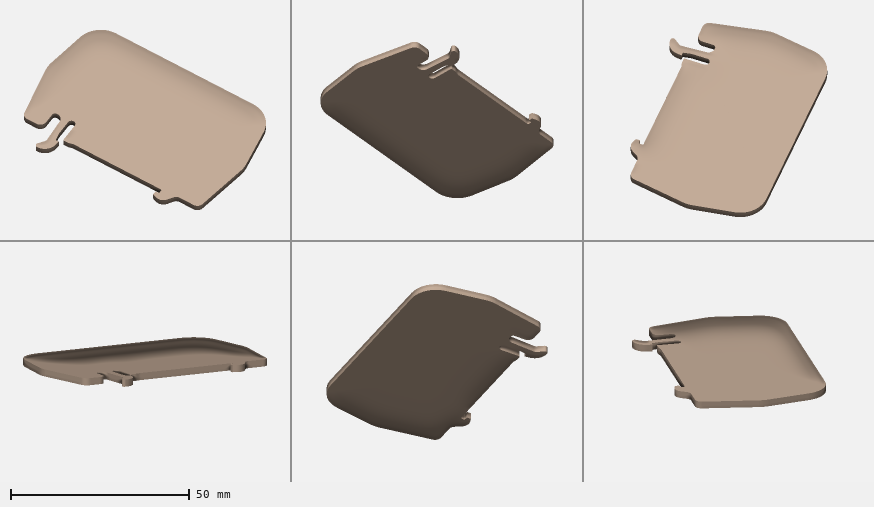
import cadquery as cq
import math

THICKNESS = 2.0

HALF_WIDTH = 32.7
TOP_Y = 38.75
TOP_HALF_WIDTH = 29.6
TOP_RADIUS = 7.85
WAIST_Y = 18.7
WAIST_RADIUS = 8.5
WAIST_OVERSHOOT = 0.1
WAIST_X = HALF_WIDTH + WAIST_OVERSHOOT
LEFT_FOOT_X = -29.2
RIGHT_FOOT_X = 29.65
FOOT_RADIUS = 1.95
RECESS_Y = -0.4

OUTER_SLOT_LEFT = -22.5
OUTER_SLOT_RIGHT = -19.6
OUTER_SLOT_TOP = 6.0
OUTER_SLOT_LEFT_RADIUS = 0.85
OUTER_SLOT_RIGHT_RADIUS = 1.75

INNER_SLOT_LEFT = -17.35
INNER_SLOT_RIGHT = -15.1
INNER_SLOT_TOP = 6.4
INNER_SLOT_RADIUS = 0.499 * (INNER_SLOT_RIGHT - INNER_SLOT_LEFT)

LATCH_BOTTOM_Y = -6.75
LATCH_HEEL = (-19.0, -3.5)
LATCH_HEEL_RADIUS = 1.3
LATCH_NOSE_X = -21.4
LATCH_NOSE_RADIUS = 0.7
LATCH_BELLY_X = -16.35
LATCH_BELLY_RADIUS = 3.9
LATCH_STEP_Y = -1.8
LATCH_STEP_INNER_X = -16.9
LATCH_STEP_OUTER_X = -15.85
LATCH_BEND_Y = 0.5
LATCH_BEND_RADIUS = 3.3

LIP_Y = -0.8
LIP_END_X = -13.4
LIP_RAMP_END_X = -12.0
LIP_CORNER_RADIUS = 0.2
LIP_BLEND_RADIUS = 2.6

HOOK_NOTCH_X = 17.6
HOOK_NOTCH_BOTTOM_Y = -1.65
HOOK_NOTCH_RADIUS = 0.3
HOOK_TIP_X = 16.4
HOOK_TIP_TOP_Y = -1.8
HOOK_TIP_BOTTOM_Y = -3.0
HOOK_BELLY = (19.6, -4.25)
HOOK_BELLY_RADIUS = 2.75
HOOK_ROOT_X = 22.3
HOOK_ROOT_RADIUS = 1.75


def corner_arc(before, corner, after, radius):
    """Return start, middle and end of the arc that rounds a corner."""
    corner = cq.Vector(*corner)
    to_before = (cq.Vector(*before) - corner).normalized()
    to_after = (cq.Vector(*after) - corner).normalized()
    half_angle = to_before.getAngle(to_after) / 2
    tangent_length = radius / math.tan(half_angle)
    middle_distance = radius / math.sin(half_angle) - radius
    bisector = (to_before + to_after).normalized()
    return (
        corner + to_before * tangent_length,
        corner + bisector * middle_distance,
        corner + to_after * tangent_length,
    )


def rounded_plate(corners, thickness):
    """Extrude a closed outline of (x, y, radius) corners; radius 0 is sharp."""
    points = [(x, y) for x, y, _ in corners]
    outline = None
    for i, (x, y, radius) in enumerate(corners):
        if radius > 0:
            after = points[(i + 1) % len(points)]
            start, middle, end = corner_arc(points[i - 1], (x, y), after, radius)
        else:
            start = cq.Vector(x, y)
        if outline is None:
            outline = cq.Workplane("XY").moveTo(start.x, start.y)
        else:
            outline = outline.lineTo(start.x, start.y)
        if radius > 0:
            outline = outline.threePointArc(middle.toTuple()[:2], end.toTuple()[:2])
    return outline.close().extrude(thickness)


upper_corners = [
    (TOP_HALF_WIDTH, TOP_Y, TOP_RADIUS),
    (-TOP_HALF_WIDTH, TOP_Y, TOP_RADIUS),
    (-WAIST_X, WAIST_Y, WAIST_RADIUS),
]
left_foot = [
    (LEFT_FOOT_X, 0, FOOT_RADIUS),
    (OUTER_SLOT_LEFT, 0, FOOT_RADIUS),
]
outer_slot = [
    (OUTER_SLOT_LEFT, OUTER_SLOT_TOP, OUTER_SLOT_LEFT_RADIUS),
    (OUTER_SLOT_RIGHT, OUTER_SLOT_TOP, OUTER_SLOT_RIGHT_RADIUS),
]
latch = [
    (*LATCH_HEEL, LATCH_HEEL_RADIUS),
    (LATCH_NOSE_X, LATCH_BOTTOM_Y, LATCH_NOSE_RADIUS),
    (LATCH_BELLY_X, LATCH_BOTTOM_Y, LATCH_BELLY_RADIUS),
    (LATCH_STEP_OUTER_X, LATCH_STEP_Y, 0),
    (LATCH_STEP_INNER_X, LATCH_STEP_Y, 0),
    (INNER_SLOT_LEFT, LATCH_BEND_Y, LATCH_BEND_RADIUS),
]
inner_slot = [
    (INNER_SLOT_LEFT, INNER_SLOT_TOP, INNER_SLOT_RADIUS),
    (INNER_SLOT_RIGHT, INNER_SLOT_TOP, INNER_SLOT_RADIUS),
]
lip = [
    (INNER_SLOT_RIGHT, LIP_Y, LIP_CORNER_RADIUS),
    (LIP_END_X, LIP_Y, LIP_BLEND_RADIUS),
    (LIP_RAMP_END_X, RECESS_Y, LIP_BLEND_RADIUS),
]
hook = [
    (HOOK_NOTCH_X, RECESS_Y, HOOK_NOTCH_RADIUS),
    (HOOK_NOTCH_X, HOOK_NOTCH_BOTTOM_Y, HOOK_NOTCH_RADIUS),
    (HOOK_TIP_X, HOOK_TIP_TOP_Y, 0),
    (HOOK_TIP_X, HOOK_TIP_BOTTOM_Y, 0),
    (*HOOK_BELLY, HOOK_BELLY_RADIUS),
    (HOOK_ROOT_X, 0, HOOK_ROOT_RADIUS),
]
right_side = [
    (RIGHT_FOOT_X, 0, FOOT_RADIUS),
    (WAIST_X, WAIST_Y, WAIST_RADIUS),
]

corners = upper_corners + left_foot + outer_slot + latch + inner_slot + lip + hook + right_side
result = rounded_plate(corners, THICKNESS)